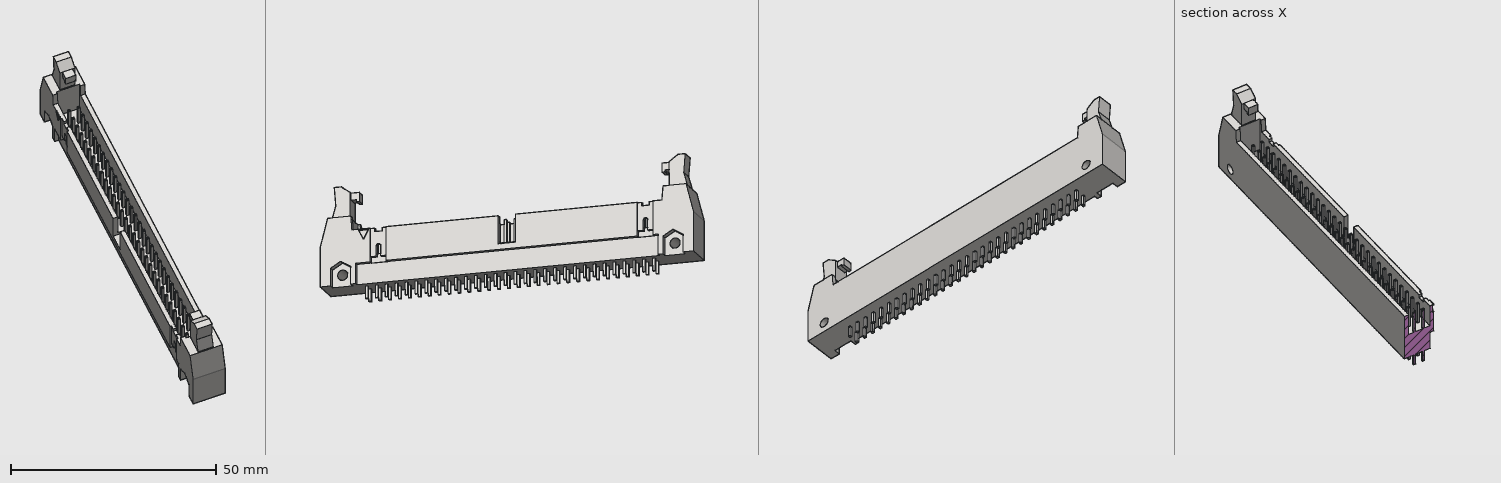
import cadquery as cq

LENGTH = 95.8
WIDTH = 8.5
HALF_LENGTH = LENGTH / 2
FRONT = -WIDTH / 2
MARGIN = 1.0

RAIL_TOP = 13.8
TOWER_TOP = 17.3
END_BEND_Z = 10.1
END_TAPER = 1.9
TOWER_INNER_TOP = HALF_LENGTH - 7.9
TOWER_INNER_FOOT = HALF_LENGTH - 8.1

WALL = 1.2
CAVITY_END = HALF_LENGTH - 7.3
CAVITY_FLOOR = 7.5
CAVITY_WIDTH = WIDTH - 2 * WALL

SKIRT_HALF_LENGTH = HALF_LENGTH - 9.1
SKIRT_TOP = 5.2
SKIRT_DEPTH = 1.1

LEFT_GROOVE_X = -33.05
RIGHT_GROOVE_X = 35.4
GROOVE_WIDTH = 4.0
GROOVE_DEPTH = 0.4
GROOVE_BOTTOM = 6.6
NOTCH_WIDTH = 1.9
NOTCH_DEPTH = 0.9
WINDOW_WIDTH = 1.15
WINDOW_TOP = 9.8

KEY_WIDTH = 4.4
KEY_REACH = 2.1
KEY_FLOOR = 6.6

MARK_X = 11.1 - HALF_LENGTH
MARK_WIDTH = 2.5
MARK_TOP = 13.5
MARK_TIP = 11.1
MARK_DEPTH = 0.3

MOUNT_X = HALF_LENGTH - 5.3
MOUNT_HOLE_Z = 3.0
MOUNT_HOLE_DIAMETER = 2.6
MOUNT_POCKET_WIDTH = 5.2
MOUNT_POCKET_EAVES = 4.5
MOUNT_POCKET_PEAK = 6.0
MOUNT_POCKET_DEPTH = 1.6

LEVER_TOP = 25.8
LEVER_WIDTH = 4.0
LEVER_INNER = HALF_LENGTH - 7.0
LEVER_ROOT_OUTER = HALF_LENGTH - 2.2
LEVER_WAIST_OUTER = HALF_LENGTH - 3.3
LEVER_WAIST_Z = 21.0
LEVER_TOP_OUTER = HALF_LENGTH - 2.9
LEVER_TOP_INNER = HALF_LENGTH - 4.7
HOOK_TOP = 24.1
HOOK_UNDERSIDE = 22.3
HOOK_LIP_BOTTOM = 21.8
HOOK_END = HALF_LENGTH - 9.1
HOOK_LIP_START = HALF_LENGTH - 8.3
HOOK_WIDTH = 2.7

PIN_COLUMNS = 30
PIN_ROWS = 2
PIN_ROW_LENGTH = 73.7
PIN_PITCH = PIN_ROW_LENGTH / (PIN_COLUMNS - 1)
PIN_SIZE = 0.62
PIN_TOP = 13.6
PIN_TIP_CHAMFER = 0.14
PIN_BOTTOM = -3.2


def block(x_min, x_max, y_min, y_max, z_min, z_max):
    """Axis-aligned box given by its limits."""
    size = (x_max - x_min, y_max - y_min, z_max - z_min)
    return cq.Workplane("XY").box(*size, centered=False).translate((x_min, y_min, z_min))


def front_prism(points, y_min, y_max):
    """Prism with an X-Z outline, running along Y."""
    outline = cq.Workplane("XZ").polyline(points).close()
    return outline.extrude(y_min - y_max).translate((0, y_min, 0))


def on_both_ends(shape):
    """The shape together with its mirror image at the other end."""
    return shape.union(shape.mirror("YZ"))


def housing():
    right_side = [
        (HALF_LENGTH, 0),
        (HALF_LENGTH, END_BEND_Z),
        (HALF_LENGTH - END_TAPER, TOWER_TOP),
        (TOWER_INNER_TOP, TOWER_TOP),
        (TOWER_INNER_FOOT, RAIL_TOP),
    ]
    left_side = [(-x, z) for x, z in reversed(right_side)]
    return front_prism(right_side + left_side, FRONT, -FRONT)


def cavity():
    half_width = CAVITY_WIDTH / 2
    return block(-CAVITY_END, CAVITY_END, -half_width, half_width, CAVITY_FLOOR, TOWER_TOP + MARGIN)


def skirt_recess():
    return block(
        -SKIRT_HALF_LENGTH, SKIRT_HALF_LENGTH,
        FRONT - MARGIN, FRONT + SKIRT_DEPTH,
        -MARGIN, SKIRT_TOP,
    )


def groove():
    """Groove centred on X = 0, with its rim notch, its window and the pocket below it."""
    half_width = GROOVE_WIDTH / 2
    half_notch = NOTCH_WIDTH / 2
    outside = FRONT - MARGIN
    above = RAIL_TOP + MARGIN
    inner_face = FRONT + WALL
    channel = block(-half_width, half_width, outside, FRONT + GROOVE_DEPTH, GROOVE_BOTTOM, above)
    foot_pocket = block(-half_width, half_width, outside, inner_face, SKIRT_TOP, GROOVE_BOTTOM)
    notch = block(-half_notch, half_notch, outside, inner_face, RAIL_TOP - NOTCH_DEPTH, above)
    return channel.union(foot_pocket).union(notch).union(window())


def window():
    """Arched opening through the front wall, centred on X = 0."""
    radius = WINDOW_WIDTH / 2
    spring_z = WINDOW_TOP - radius
    outline = (
        cq.Workplane("XZ")
        .moveTo(-radius, GROOVE_BOTTOM)
        .lineTo(radius, GROOVE_BOTTOM)
        .lineTo(radius, spring_z)
        .threePointArc((0, WINDOW_TOP), (-radius, spring_z))
        .close()
    )
    return outline.extrude(-WALL).translate((0, FRONT, 0))


def key_slot():
    half_width = KEY_WIDTH / 2
    return block(
        -half_width, half_width,
        FRONT - MARGIN, FRONT + KEY_REACH,
        KEY_FLOOR, RAIL_TOP + MARGIN,
    )


def pin_one_mark():
    half_width = MARK_WIDTH / 2
    triangle = [
        (MARK_X - half_width, MARK_TOP),
        (MARK_X + half_width, MARK_TOP),
        (MARK_X, MARK_TIP),
    ]
    return front_prism(triangle, FRONT, FRONT + MARK_DEPTH)


def mount():
    """House-shaped front pocket and the through hole inside it."""
    half_width = MOUNT_POCKET_WIDTH / 2
    house = [
        (MOUNT_X - half_width, 0),
        (MOUNT_X + half_width, 0),
        (MOUNT_X + half_width, MOUNT_POCKET_EAVES),
        (MOUNT_X, MOUNT_POCKET_PEAK),
        (MOUNT_X - half_width, MOUNT_POCKET_EAVES),
    ]
    pocket = front_prism(house, FRONT, FRONT + MOUNT_POCKET_DEPTH)
    hole = (
        cq.Workplane("XZ")
        .center(MOUNT_X, MOUNT_HOLE_Z)
        .circle(MOUNT_HOLE_DIAMETER / 2)
        .extrude(WIDTH / 2, both=True)
    )
    return pocket.union(hole)


def latch():
    """Lever standing on a tower, with a hook that points over the cavity."""
    lever_outline = [
        (LEVER_INNER, TOWER_TOP),
        (LEVER_ROOT_OUTER, TOWER_TOP),
        (LEVER_WAIST_OUTER, LEVER_WAIST_Z),
        (LEVER_TOP_OUTER, LEVER_TOP),
        (LEVER_TOP_INNER, LEVER_TOP),
        (LEVER_INNER, HOOK_TOP),
    ]
    hook_outline = [
        (LEVER_INNER, HOOK_TOP),
        (HOOK_END, HOOK_TOP),
        (HOOK_END, HOOK_LIP_BOTTOM),
        (HOOK_LIP_START, HOOK_LIP_BOTTOM),
        (HOOK_LIP_START, HOOK_UNDERSIDE),
        (LEVER_INNER, HOOK_UNDERSIDE),
    ]
    lever = front_prism(lever_outline, -LEVER_WIDTH / 2, LEVER_WIDTH / 2)
    hook = front_prism(hook_outline, -HOOK_WIDTH / 2, HOOK_WIDTH / 2)
    return lever.union(hook)


def pins():
    return (
        cq.Workplane("XY", origin=(0, 0, PIN_BOTTOM))
        .rarray(PIN_PITCH, PIN_PITCH, PIN_COLUMNS, PIN_ROWS)
        .rect(PIN_SIZE, PIN_SIZE)
        .extrude(PIN_TOP - PIN_BOTTOM)
        .faces(">Z")
        .chamfer(PIN_TIP_CHAMFER)
    )


body = housing().cut(cavity()).cut(skirt_recess()).cut(key_slot()).cut(pin_one_mark())
body = body.cut(on_both_ends(mount()))
for groove_x in (LEFT_GROOVE_X, RIGHT_GROOVE_X):
    body = body.cut(groove().translate((groove_x, 0, 0)))

result = body.union(on_both_ends(latch())).union(pins())